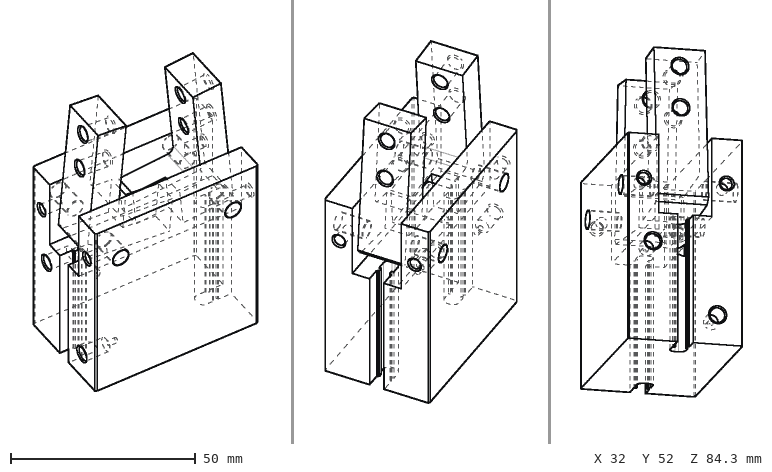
import cadquery as cq
import math

body_x = 32.0
body_y = 52.0
body_z = 57.9
corner_inset_x = 0.3
corner_inset_y = 0.6
jaw_slot_width = 14.8
jaw_slot_floor = 35.9

groove_mouth = 4.4
groove_throat = 3.1
groove_lip_front = 4.2
groove_lip_back = 5.7
groove_lip_radius = 0.3
groove_depth = 9.8
groove_flat = 0.9
relief_diameter = 3.4
relief_z = 28.3
relief_end_x = 0.2
relief_axis_depth = 8.35

pivot_y = 17.95
pivot_z = 45.4
pivot_hole_diameter = 5.2
pin_diameter = 4.9

screw_x = 11.55
screw_diameter = 3.2
screw_mouth = 4.1
thread_diameter = 4.1
thread_mouth = 5.0
port_x = 9.0
upper_port_z = 27.9
lower_port_z = 8.35
port_depth = 7.6
port_bleed_diameter = 1.5
port_bleed_length = 2.5
drill_point_angle = 118.0

total_height = 84.3
finger_tilt = 5.0
finger_width = 14.3
finger_outer_u = -5.05
finger_inner_u = 4.0
arm_bottom_v = -5.5
arm_top_v = 6.1
short_arm_u = 11.0
long_arm_u = 21.6
heel_chamfer = 1.7
crotch_radius = 2.0
arm_side_gap = 0.1
mount_from_tip = 5.0
mount_pitch = 12.0

tilt = math.radians(finger_tilt)
finger_tip_v = (total_height - pivot_z + finger_outer_u * math.sin(tilt)) / math.cos(tilt)
finger_thickness = finger_inner_u - finger_outer_u
front_y = -body_y / 2


def turned(profile, plane):
    """Solid of revolution about the plane's normal, from (radius, depth) points along that normal."""
    tool = cq.Workplane("XZ").polyline(profile).close().revolve(360, (0, 0), (0, 1)).val()
    return cq.Workplane(tool.moved(cq.Location(plane)))


def cone_height(radius):
    return radius / math.tan(math.radians(drill_point_angle / 2))


def mouth_points(mouth, diameter):
    """Start of a hole profile: 45 degree countersink from the mouth down to the drilled diameter."""
    bevel = (mouth - diameter) / 2
    return [(0, 0), (mouth / 2, 0), (diameter / 2, bevel)]


def inward_plane(x, z):
    return cq.Plane(origin=(x, front_y, z), xDir=(1, 0, 0), normal=(0, 1, 0))


def to_back(shape):
    """The same shape turned half a revolution about Z."""
    return shape.rotate((0, 0, 0), (0, 0, 1), 180)


def groove_tool():
    """Lipped groove with rounded bottom corners, running the full height of the front face."""
    mouth = groove_mouth / 2
    throat = groove_throat / 2
    flat = groove_flat / 2
    radius = mouth - flat
    bottom_y = front_y + groove_depth
    lip_front_y = front_y + groove_lip_front
    round_x = throat + groove_lip_radius
    round_y = lip_front_y + groove_lip_radius
    lip_back_y = front_y + groove_lip_back
    arc_mid_x = flat + radius * math.sin(math.pi / 4)
    arc_mid_y = bottom_y - radius + radius * math.cos(math.pi / 4)
    return (
        cq.Workplane("XY")
        .moveTo(-mouth, front_y)
        .lineTo(mouth, front_y)
        .lineTo(mouth, lip_front_y)
        .lineTo(round_x, lip_front_y)
        .radiusArc((throat, round_y), -groove_lip_radius)
        .lineTo(throat, lip_back_y)
        .lineTo(mouth, lip_back_y)
        .lineTo(mouth, bottom_y - radius)
        .threePointArc((arc_mid_x, arc_mid_y), (flat, bottom_y))
        .lineTo(-flat, bottom_y)
        .threePointArc((-arc_mid_x, arc_mid_y), (-mouth, bottom_y - radius))
        .lineTo(-mouth, lip_back_y)
        .lineTo(-throat, lip_back_y)
        .lineTo(-throat, round_y)
        .radiusArc((-round_x, lip_front_y), -groove_lip_radius)
        .lineTo(-mouth, lip_front_y)
        .close()
        .extrude(body_z)
    )


def relief_tool():
    """Blind hole along X, with a drill point, that clears one rounded flank of the front groove."""
    wall_x = groove_mouth / 2
    radius = relief_diameter / 2
    depth = wall_x - relief_end_x
    profile = [(0, 0), (radius, 0), (radius, depth), (0, depth + cone_height(radius))]
    start = (wall_x, front_y + relief_axis_depth, relief_z)
    return turned(profile, cq.Plane(origin=start, xDir=(0, 1, 0), normal=(-1, 0, 0)))


def port_tool(x, z):
    """Threaded port with a conical bottom that opens into a small bleed hole."""
    thread_radius = thread_diameter / 2
    bleed_radius = port_bleed_diameter / 2
    cone_end = port_depth + cone_height(thread_radius - bleed_radius)
    bleed_end = cone_end + port_bleed_length
    profile = mouth_points(thread_mouth, thread_diameter) + [
        (thread_radius, port_depth),
        (bleed_radius, cone_end),
        (bleed_radius, bleed_end),
        (0, bleed_end + cone_height(bleed_radius)),
    ]
    return turned(profile, inward_plane(x, z))


def screw_tool(x):
    """Set screw hole that reaches the axis of the pivot hole."""
    depth = body_y / 2 - pivot_y
    profile = mouth_points(screw_mouth, screw_diameter) + [(screw_diameter / 2, depth), (0, depth)]
    return turned(profile, inward_plane(x, pivot_z))


def make_body():
    half_x = body_x / 2
    half_y = body_y / 2
    inner_x = half_x - corner_inset_x
    inner_y = half_y - corner_inset_y
    body = (
        cq.Workplane("XY")
        .polyline([
            (-inner_x, -half_y), (inner_x, -half_y), (half_x, -inner_y), (half_x, inner_y),
            (inner_x, half_y), (-inner_x, half_y), (-half_x, inner_y), (-half_x, -inner_y),
        ])
        .close()
        .extrude(body_z)
    )

    slot_height = body_z - jaw_slot_floor
    jaw_slot = cq.Workplane("XY").box(jaw_slot_width, body_y, slot_height, centered=(True, True, False))
    body = body.cut(jaw_slot.translate((0, 0, jaw_slot_floor)))

    groove = groove_tool()
    body = body.cut(groove).cut(to_back(groove)).cut(relief_tool())

    pivot_holes = (
        cq.Workplane("YZ")
        .pushPoints([(-pivot_y, pivot_z), (pivot_y, pivot_z)])
        .circle(pivot_hole_diameter / 2)
        .extrude(body_x / 2, both=True)
    )
    body = body.cut(pivot_holes)

    for x in (-screw_x, screw_x):
        screw_hole = screw_tool(x)
        body = body.cut(screw_hole).cut(to_back(screw_hole))

    for x, z in ((-port_x, upper_port_z), (port_x, lower_port_z)):
        body = body.cut(port_tool(x, z))
    return body


def mount_hole_tool(v):
    """Through hole across the finger, countersunk on both faces."""
    bevel = (thread_mouth - thread_diameter) / 2
    profile = mouth_points(thread_mouth, thread_diameter) + [
        (thread_diameter / 2, finger_thickness - bevel),
        (thread_mouth / 2, finger_thickness),
        (0, finger_thickness),
    ]
    plane = cq.Plane(origin=(0, finger_outer_u, v), xDir=(1, 0, 0), normal=(0, 1, 0))
    return turned(profile, plane)


def make_finger():
    """Front finger with its pivot pin; built upright about the pivot, then tilted and placed."""
    half_width = finger_width / 2
    finger = (
        cq.Workplane("YZ")
        .moveTo(finger_outer_u, finger_tip_v)
        .lineTo(finger_inner_u, finger_tip_v)
        .lineTo(finger_inner_u, arm_top_v + crotch_radius)
        .radiusArc((finger_inner_u + crotch_radius, arm_top_v), -crotch_radius)
        .lineTo(short_arm_u, arm_top_v)
        .lineTo(short_arm_u, arm_bottom_v)
        .lineTo(finger_outer_u + heel_chamfer, arm_bottom_v)
        .lineTo(finger_outer_u, arm_bottom_v + heel_chamfer)
        .close()
        .extrude(half_width, both=True)
    )

    long_arm = cq.Workplane("XY").box(
        half_width - arm_side_gap, long_arm_u - short_arm_u, arm_top_v - arm_bottom_v, centered=False
    )
    finger = finger.union(long_arm.translate((arm_side_gap, short_arm_u, arm_bottom_v)))

    for hole in range(2):
        finger = finger.cut(mount_hole_tool(finger_tip_v - mount_from_tip - hole * mount_pitch))

    pin = cq.Workplane("YZ").circle(pin_diameter / 2).extrude(body_x / 2, both=True)
    finger = finger.union(pin)
    return finger.rotate((0, 0, 0), (1, 0, 0), -finger_tilt).translate((0, -pivot_y, pivot_z))


body = make_body()
front_finger = make_finger()
fingers = [front_finger, to_back(front_finger)]

result = cq.Compound.makeCompound([body.val(), *[finger.val() for finger in fingers]])